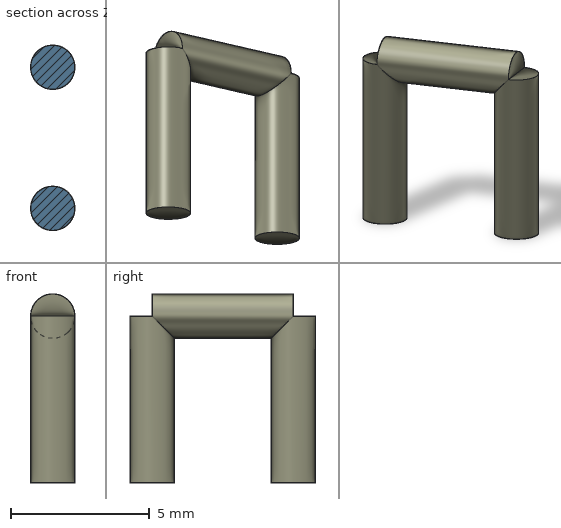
import cadquery as cq

overall_height = 6.8
wire_diameter = 1.6
leg_spacing = 5.08

wire_radius = wire_diameter / 2
leg_height = overall_height - wire_radius


def make_leg(y):
    """Upright leg standing on Z = 0, with a flat top at the crossbar axis."""
    return cq.Workplane("XY").center(0, y).circle(wire_radius).extrude(leg_height)


def make_crossbar():
    """Horizontal bar along Y, ending on the two leg axes."""
    return (
        cq.Workplane("XZ")
        .center(0, leg_height)
        .circle(wire_radius)
        .extrude(leg_spacing / 2, both=True)
    )


result = make_crossbar()
for side in (-1, 1):
    result = result.union(make_leg(side * leg_spacing / 2))